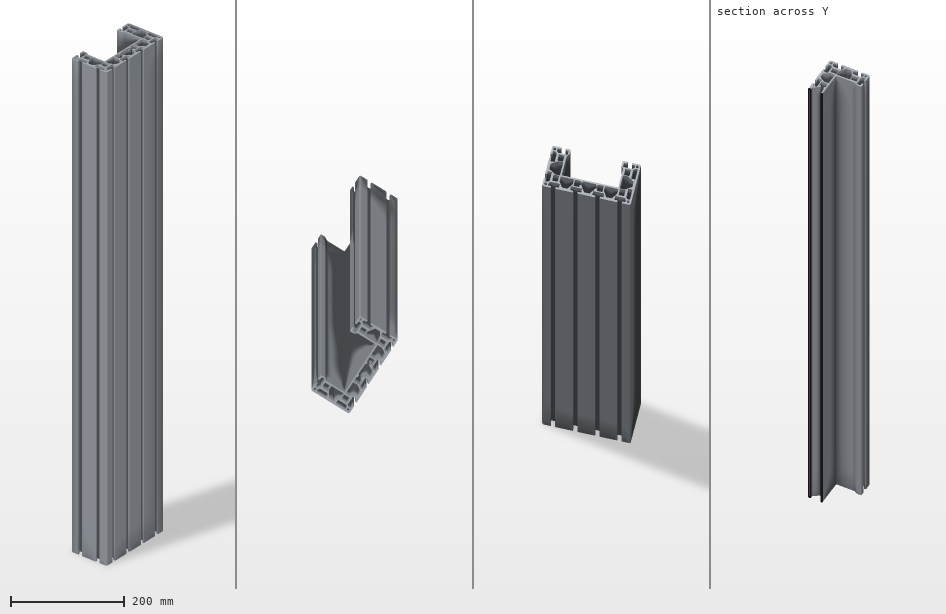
import cadquery as cq

width = 80.0
depth = 160.0
length = 1000.0
pitch = 40.0
corner_radius = 3.0

web_face_x = 12.0
arm_face_y = 51.0
flange_face_y = 47.0
flange_length = 9.0
flange_slope = 6.0
flange_radius = 1.0

slot_opening = 8.2
slot_width = 20.0
slot_floor = 11.0
lip = 3.5
slot_chamfer = 3.0

core_height = 10.0
core_length = 12.0
web_core_y = 21.0
neck_width = 6.0

web_wall = 3.0
web_chamber_half = 12.0
web_taper_length = 11.0
arm_chamber_half = 13.0
arm_taper_length = 12.0
arm_chamber_start = 54.0
chamber_tip_half = 5.0
chamber_skin = 5.0

corner_hole_diameter = 5.0
corner_hole_inset = 5.5

half_width = width / 2
half_depth = depth / 2
slot_x = pitch / 2
web_slot_y = pitch / 2
arm_slot_y = 3 * pitch / 2


def prism(points):
    """Full-length bar with the given XY outline."""
    return cq.Workplane("XY").polyline(points).close().extrude(length)


def bar(x0, x1, y0, y1):
    """Full-length rectangular bar between two X and two Y planes."""
    return prism([(x0, y0), (x1, y0), (x1, y1), (x0, y1)])


def turn(tool, angle):
    """Turn a tool about the Z axis."""
    return tool.rotate((0, 0, 0), (0, 0, 1), angle)


def t_slot(x, y, angle, is_open=True, corner_side=0):
    """T-slot cutter centred at (x, y) on an outer face; angle 0 faces +X.

    corner_side is the sign of the floor end that is chamfered, 0 for none.
    """
    half = slot_width / 2
    cutter = bar(-slot_floor, -lip, -half, half)
    if corner_side:
        end = corner_side * half
        cutter = cutter.cut(prism([
            (-slot_floor, end),
            (-slot_floor + slot_chamfer, end),
            (-slot_floor, end - corner_side * slot_chamfer),
        ]))
    if is_open:
        cutter = cutter.union(bar(-slot_floor, 0, -slot_opening / 2, slot_opening / 2))
    return turn(cutter, angle).translate((x, y, 0))


def chamber(base, tip, half, taper_length):
    """Chamber cutter along +X, narrowing towards its tip."""
    shoulder = tip - taper_length
    return prism([
        (base, -half),
        (shoulder, -half),
        (tip, -chamber_tip_half),
        (tip, chamber_tip_half),
        (shoulder, half),
        (base, half),
    ])


def u_body():
    """Solid U section with thickened arm tips and rounded outer edges."""
    flange_x = -half_width + flange_length
    slope_x = flange_x + flange_slope
    body = prism([
        (-half_width, half_depth),
        (half_width, half_depth),
        (half_width, -half_depth),
        (-half_width, -half_depth),
        (-half_width, -flange_face_y),
        (flange_x, -flange_face_y),
        (slope_x, -arm_face_y),
        (web_face_x, -arm_face_y),
        (web_face_x, arm_face_y),
        (slope_x, arm_face_y),
        (flange_x, flange_face_y),
        (-half_width, flange_face_y),
    ])
    body = body.edges("|Z and (<X or >X) and (<Y or >Y)").fillet(corner_radius)
    for side in (-1, 1):
        tip_edge = cq.selectors.NearestToPointSelector((-half_width, side * flange_face_y, length / 2))
        body = body.edges(tip_edge).fillet(flange_radius)
    return body


def arm_cutters(side):
    """Slots, cores, chamber and corner holes of one arm; side is the sign of its Y."""
    y = side * arm_slot_y
    arm_chamber = chamber(
        arm_chamber_start, half_depth - chamber_skin, arm_chamber_half, arm_taper_length
    )
    tools = [
        t_slot(-half_width, y, 180, corner_side=-side),
        t_slot(half_width, y, 0, corner_side=side),
        turn(arm_chamber, side * 90),
    ]
    corner_hole = cq.Workplane("XY").circle(corner_hole_diameter / 2).extrude(length)
    hole_x = half_width - corner_hole_inset
    hole_y = half_depth - corner_hole_inset
    for x_side in (-1, 1):
        x = x_side * slot_x
        is_open = side < 0
        tools.append(t_slot(x, side * half_depth, side * 90, is_open, -side * x_side))
        tools.append(bar(
            x - core_length / 2, x + core_length / 2,
            y - core_height / 2, y + core_height / 2,
        ))
        tools.append(corner_hole.translate((x_side * hole_x, side * hole_y, 0)))
    return tools


def web_cutters():
    """Slots, cores, necks and chambers of the web."""
    base = web_face_x + web_wall
    web_chamber = chamber(base, half_width - chamber_skin, web_chamber_half, web_taper_length)
    tools = [web_chamber.translate((0, y, 0)) for y in (-pitch, 0, pitch)]
    for side in (-1, 1):
        tools.append(t_slot(half_width, side * web_slot_y, 0))
        core_y = side * web_core_y
        tools.append(bar(
            base, base + core_length,
            core_y - core_height / 2, core_y + core_height / 2,
        ))
        tools.append(bar(slot_x - neck_width / 2, slot_x + neck_width / 2, 0, core_y))
    return tools


result = u_body()
for tool in arm_cutters(1) + arm_cutters(-1) + web_cutters():
    result = result.cut(tool)